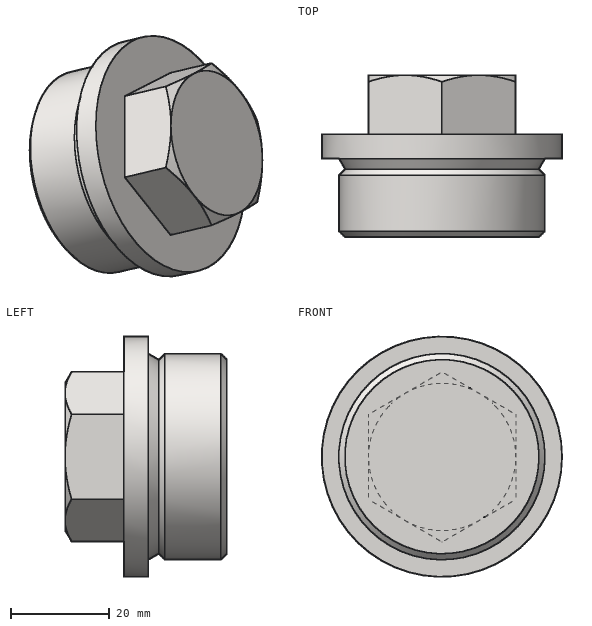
import cadquery as cq
import math

plug_diameter = 42.0
plug_length = 16.0
plug_chamfer = 1.227

flange_diameter = 49.0
flange_thickness = 5.0

hex_sides = 6
hex_across_flats = 30.0
hex_height = 12.0
hex_chamfer_angle = 30.0

groove_depth = plug_chamfer
groove_flank_angle = 60.0

plug_radius = plug_diameter / 2
flange_radius = flange_diameter / 2
groove_radius = plug_radius - groove_depth
groove_flank_length = groove_depth * math.tan(math.radians(groove_flank_angle))
hex_across_corners = hex_across_flats / math.cos(math.pi / hex_sides)
hex_end = flange_thickness + hex_height


def make_turned_body():
    """Plug, relief groove and flange as one revolved profile (radius, axial position)."""
    profile = [
        (0, -plug_length),
        (plug_radius - plug_chamfer, -plug_length),
        (plug_radius, -plug_length + plug_chamfer),
        (plug_radius, -groove_flank_length - groove_depth),
        (groove_radius, -groove_flank_length),
        (plug_radius, 0),
        (flange_radius, 0),
        (flange_radius, flange_thickness),
        (0, flange_thickness),
    ]
    return cq.Workplane("XY").polyline(profile).close().revolve(360, (0, 0, 0), (0, 1, 0))


def make_hex_head():
    """Hexagon with corners on +Z and -Z, its end corners turned off by a cone."""
    hexagon = (
        cq.Workplane("XZ", origin=(0, flange_thickness, 0))
        .transformed(rotate=(0, 0, 90))
        .polygon(hex_sides, hex_across_corners)
        .extrude(-hex_height)
    )
    end_radius = hex_across_flats / 2
    cone_radius = hex_across_corners
    cone_drop = (cone_radius - end_radius) * math.tan(math.radians(hex_chamfer_angle))
    envelope_profile = [
        (0, flange_thickness),
        (cone_radius, flange_thickness),
        (cone_radius, hex_end - cone_drop),
        (end_radius, hex_end),
        (0, hex_end),
    ]
    envelope = cq.Workplane("XY").polyline(envelope_profile).close().revolve(360, (0, 0, 0), (0, 1, 0))
    return hexagon.intersect(envelope)


result = make_turned_body().union(make_hex_head())